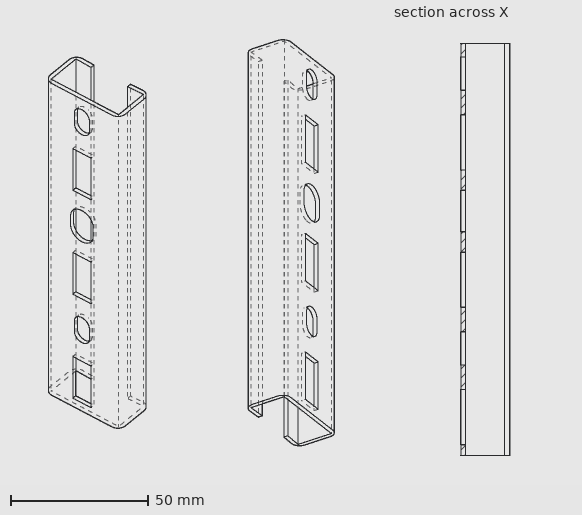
import cadquery as cq
import math

width = 35.0
depth = 17.87
length = 150.0

sheet_thickness = 1.75
outer_bend_radius = 3.5
lip_droop_angle = 2.0
mouth_width = 17.0

opening_pitch = 25.0
first_opening_from_top = 11.0
small_slot_width = 7.0
small_slot_length = 12.0
large_slot_width = 10.5
large_slot_length = 15.0
window_width = 8.5
window_length = 20.0
web_cut_depth = 2 * sheet_thickness
along_length = 90

small_slot_positions = (0, 4)
large_slot_positions = (2,)
window_positions = (1, 3, 5)


def half_section():
    """Half of the C-section for X >= 0: web at -Y, wall at +X, drooping lip at +Y."""
    web_y = -depth / 2
    crown_y = depth / 2
    wall_x = width / 2
    inner_wall_x = wall_x - sheet_thickness
    lip_tip_x = mouth_width / 2
    droop = math.radians(lip_droop_angle)
    bend_middle = math.radians(45)
    radius = outer_bend_radius
    bend_x = wall_x - radius
    web_bend_y = web_y + radius
    lip_bend_y = crown_y - radius

    def on_lip_bend(angle):
        return (bend_x + radius * math.cos(angle), lip_bend_y + radius * math.sin(angle))

    def lip_inner_y(x):
        offset = radius - sheet_thickness
        return lip_bend_y + (offset + (x - bend_x) * math.sin(droop)) / math.cos(droop)

    def lip_outer_y(x):
        return lip_inner_y(x) + sheet_thickness / math.cos(droop)

    return (
        cq.Workplane("XY")
        .moveTo(0, web_y)
        .lineTo(bend_x, web_y)
        .threePointArc(
            (bend_x + radius * math.cos(bend_middle), web_bend_y - radius * math.sin(bend_middle)),
            (wall_x, web_bend_y),
        )
        .lineTo(wall_x, lip_bend_y)
        .threePointArc(on_lip_bend(bend_middle), on_lip_bend(math.pi / 2 + droop))
        .lineTo(lip_tip_x, lip_outer_y(lip_tip_x))
        .lineTo(lip_tip_x, lip_inner_y(lip_tip_x))
        .lineTo(inner_wall_x, lip_inner_y(inner_wall_x))
        .lineTo(inner_wall_x, web_y + sheet_thickness)
        .lineTo(0, web_y + sheet_thickness)
        .close()
    )


def channel():
    """C-channel made of the extruded half-section and its mirror image."""
    half = half_section().extrude(length)
    return half.union(half.mirror("YZ")).clean()


def web_cutter(sketch):
    """Cutter that runs an outline through the web and stops short of the lips."""
    return sketch.extrude(-web_cut_depth)


def web_plane(z):
    """Workplane on the outer face of the web at height z, with local Y along Z."""
    return cq.Workplane("XZ", origin=(0, -depth / 2, z))


def slot(z, slot_width, slot_length):
    """Round-ended slot along the channel."""
    return web_cutter(web_plane(z).slot2D(slot_length, slot_width, along_length))


def window(z):
    """Rectangular opening along the channel."""
    return web_cutter(web_plane(z).rect(window_width, window_length))


def opening_height(position):
    """Height of an opening's centre, counted from the top end."""
    return length - first_opening_from_top - position * opening_pitch


result = channel()

for position in small_slot_positions:
    result = result.cut(slot(opening_height(position), small_slot_width, small_slot_length))

for position in large_slot_positions:
    result = result.cut(slot(opening_height(position), large_slot_width, large_slot_length))

for position in window_positions:
    result = result.cut(window(opening_height(position)))